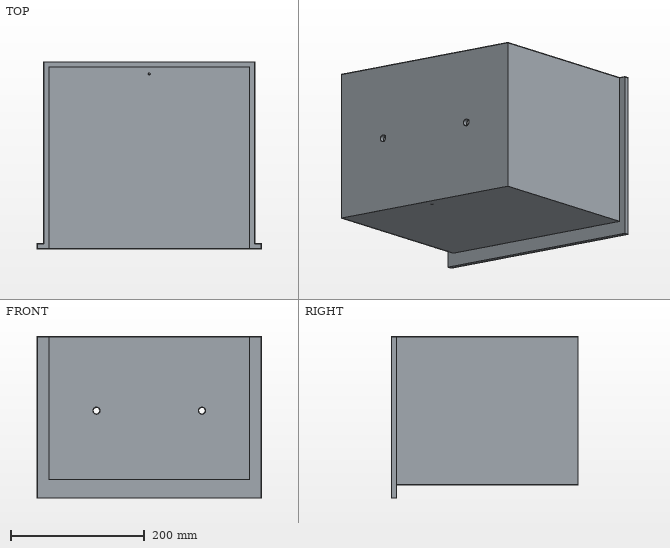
import cadquery as cq

wall = 8.0
inner_width = 300.0
depth = 280.0
box_height = 222.0
flange_overhang_side = 10.0
flange_overhang_bottom = 20.0
mounting_hole_diameter = 10.0
floor_hole_diameter = 2.5
floor_hole_setback = 10.0

box_width = inner_width + 2 * wall
flange_width = box_width + 2 * flange_overhang_side
flange_height = box_height + flange_overhang_bottom
inner_depth = depth - wall
mounting_hole_spacing = box_width / 2
mounting_hole_height = box_height / 2


def centred_block(width, length, height, bottom):
    """Block centred on X that starts at Y = 0 and rises from Z = bottom."""
    return (
        cq.Workplane("XY")
        .box(width, length, height, centered=(True, False, False))
        .translate((0, 0, bottom))
    )


def open_box():
    """Box with a flanged front edge, open at the top and at the front."""
    body = centred_block(box_width, depth, box_height, 0)
    flange = centred_block(flange_width, wall, flange_height, -flange_overhang_bottom)
    cavity = centred_block(inner_width, inner_depth, box_height - wall, wall)
    return body.union(flange).cut(cavity)


def mounting_holes():
    """Two holes through the back wall, a quarter of the box width in from each side."""
    half_spacing = mounting_hole_spacing / 2
    return (
        cq.Workplane("XZ", origin=(0, depth, 0))
        .pushPoints([(x, mounting_hole_height) for x in (-half_spacing, half_spacing)])
        .circle(mounting_hole_diameter / 2)
        .extrude(wall)
    )


def floor_hole():
    """Small hole through the floor, near the middle of the back wall."""
    return (
        cq.Workplane("XY")
        .center(0, inner_depth - floor_hole_setback)
        .circle(floor_hole_diameter / 2)
        .extrude(wall)
    )


result = open_box().cut(mounting_holes()).cut(floor_hole())